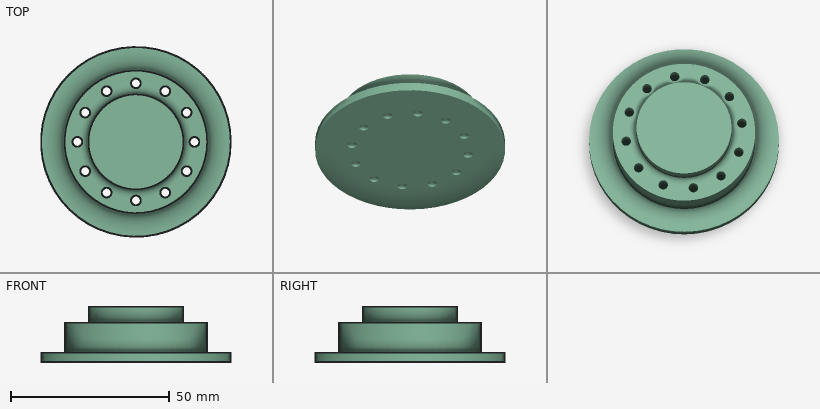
import cadquery as cq

flange_diameter = 60.0
flange_thickness = 3.0

drum_diameter = 45.0
drum_height = 9.5
boss_diameter = 30.0
boss_height = 5.0

hole_count = 12
hole_diameter = 3.0
hole_circle_diameter = 37.0


def disc(diameter, height, bottom_z):
    """Solid disc centred on the Z axis, with its underside at bottom_z."""
    return cq.Workplane("XY", origin=(0, 0, bottom_z)).circle(diameter / 2).extrude(height)


def hole_ring(height, bottom_z):
    """Ring of cylinders that cut the through holes."""
    return (
        cq.Workplane("XY", origin=(0, 0, bottom_z))
        .polarArray(hole_circle_diameter / 2, 0, 360, hole_count)
        .circle(hole_diameter / 2)
        .extrude(height)
    )


def make_flange():
    """Flat plate pierced by the hole ring."""
    plate = disc(flange_diameter, flange_thickness, 0)
    return plate.cut(hole_ring(flange_thickness, 0))


def make_hub():
    """Drum and boss in one piece, seated on the flange, with the hole ring through the drum."""
    drum = disc(drum_diameter, drum_height, flange_thickness)
    boss = disc(boss_diameter, boss_height, flange_thickness + drum_height)
    return drum.union(boss).cut(hole_ring(drum_height, flange_thickness))


flange = make_flange()
hub = make_hub()

result = cq.Compound.makeCompound([flange.val(), hub.val()])